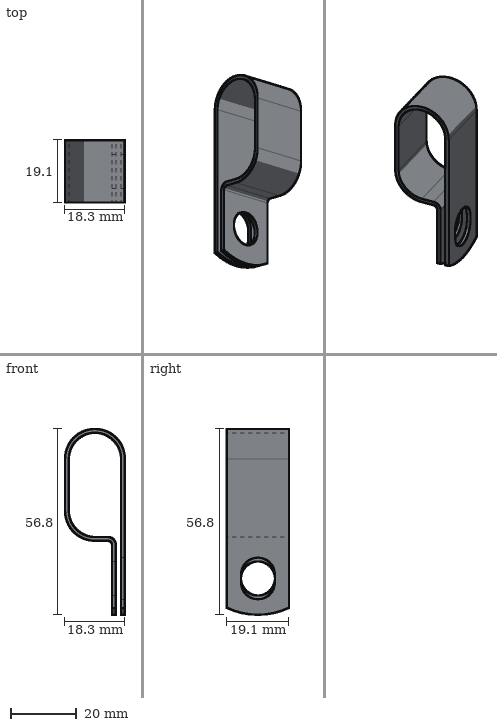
import cadquery as cq
import math

THICKNESS = 1.2192
WIDTH = 19.05
LOOP_BORE = 15.875
LOOP_STRAIGHT = 15.875
OVERALL_HEIGHT = 56.76
LEG_GAP = 1.55
HOLE_DIAMETER = 10.32
SLOT_HEIGHT = 12.7
HOLE_ABOVE_TIP = 11.11
TIP_RADIUS = 22.2
LEG_BEND_INNER = 1.19

inner_radius = LOOP_BORE / 2
outer_radius = inner_radius + THICKNESS
leg_bend_outer = LEG_BEND_INNER + THICKNESS
lower_centre_z = -LOOP_STRAIGHT
shelf_top_z = lower_centre_z - inner_radius
shelf_bottom_z = lower_centre_z - outer_radius
leg_bend_z = shelf_top_z - leg_bend_outer
tip_z = outer_radius - OVERALL_HEIGHT
hole_z = tip_z + HOLE_ABOVE_TIP
short_leg_outer_x = inner_radius - LEG_GAP
short_leg_inner_x = short_leg_outer_x - THICKNESS
leg_bend_x = short_leg_outer_x - leg_bend_outer


def arc_point(centre_x, centre_z, radius, degrees):
    """Point on a circle in the XZ plane, measured from +X towards +Z."""
    angle = math.radians(degrees)
    return centre_x + radius * math.cos(angle), centre_z + radius * math.sin(angle)


def bent_strip():
    """Strip bent into a loop with two parallel legs, centred on Y = 0."""
    return (
        cq.Workplane("XZ")
        .moveTo(outer_radius, tip_z)
        .lineTo(outer_radius, 0)
        .threePointArc((0, outer_radius), (-outer_radius, 0))
        .lineTo(-outer_radius, lower_centre_z)
        .threePointArc(arc_point(0, lower_centre_z, outer_radius, 225), (0, shelf_bottom_z))
        .lineTo(leg_bend_x, shelf_bottom_z)
        .threePointArc(
            arc_point(leg_bend_x, leg_bend_z, LEG_BEND_INNER, 45),
            (short_leg_inner_x, leg_bend_z),
        )
        .lineTo(short_leg_inner_x, tip_z)
        .lineTo(short_leg_outer_x, tip_z)
        .lineTo(short_leg_outer_x, leg_bend_z)
        .threePointArc(
            arc_point(leg_bend_x, leg_bend_z, leg_bend_outer, 45),
            (leg_bend_x, shelf_top_z),
        )
        .lineTo(0, shelf_top_z)
        .threePointArc(
            arc_point(0, lower_centre_z, inner_radius, 225),
            (-inner_radius, lower_centre_z),
        )
        .lineTo(-inner_radius, 0)
        .threePointArc((0, inner_radius), (inner_radius, 0))
        .lineTo(inner_radius, tip_z)
        .close()
        .extrude(WIDTH / 2, both=True)
    )


def rounded_tip_envelope():
    """Block as large as the clip whose lower end is rounded about the X axis."""
    half_width = WIDTH / 2
    tip_rise = TIP_RADIUS - math.sqrt(TIP_RADIUS**2 - half_width**2)
    corner_z = tip_z + tip_rise
    return (
        cq.Workplane("YZ")
        .moveTo(-half_width, outer_radius)
        .lineTo(-half_width, corner_z)
        .threePointArc((0, tip_z), (half_width, corner_z))
        .lineTo(half_width, outer_radius)
        .close()
        .extrude(outer_radius, both=True)
    )


def short_leg_hole():
    """Cutter for the round hole in the short leg."""
    return (
        cq.Workplane("YZ", origin=(short_leg_inner_x, 0, hole_z))
        .circle(HOLE_DIAMETER / 2)
        .extrude(THICKNESS)
    )


def long_leg_slot():
    """Cutter for the upright slot in the long leg."""
    return (
        cq.Workplane("YZ", origin=(inner_radius, 0, hole_z))
        .slot2D(SLOT_HEIGHT, HOLE_DIAMETER, angle=90)
        .extrude(THICKNESS)
    )


result = (
    bent_strip()
    .intersect(rounded_tip_envelope())
    .cut(short_leg_hole())
    .cut(long_leg_slot())
)